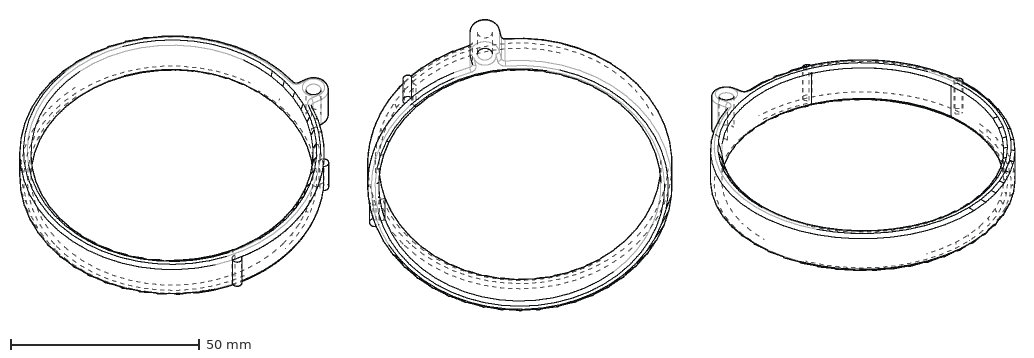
import cadquery as cq
import math

inner_radius = 37.5
wall = 3.0
outer_radius = inner_radius + wall
height = 12.0

total_length = 88
eyelet_hole_diameter = 4.0
eyelet_radius = 4.0
edge_radius = (eyelet_radius - eyelet_hole_diameter / 2) / 2
eyelet_y = total_length - outer_radius - eyelet_radius
neck_fillet = 1.0

insert_height = height - 2 * edge_radius
insert_start_angle = -5
insert_end_angle = 55
rib_radius = 1.3


def polar_point(radius, angle):
    """Point at a radius and an angle in degrees from +X, about the ring axis."""
    return (radius * math.cos(math.radians(angle)), radius * math.sin(math.radians(angle)))


def cylinder(radius, center=(0, 0), length=height, bottom=0):
    return cq.Workplane("XY", origin=(*center, bottom)).circle(radius).extrude(length)


def make_eyelet_hole():
    """Solid that cuts the eyelet hole and rounds over its two mouths."""
    hole_radius = eyelet_hole_diameter / 2
    mouth_radius = hole_radius + edge_radius
    arc_middle = mouth_radius - edge_radius * math.sqrt(0.5)
    arc_depth = edge_radius * (1 - math.sqrt(0.5))
    profile = (
        cq.Workplane("XZ")
        .lineTo(mouth_radius, 0)
        .threePointArc((arc_middle, arc_depth), (hole_radius, edge_radius))
        .lineTo(hole_radius, height - edge_radius)
        .threePointArc((arc_middle, height - arc_depth), (mouth_radius, height))
        .lineTo(0, height)
        .close()
    )
    return profile.revolve().translate((0, eyelet_y, 0))


def make_blank():
    """Complete ring with its eyelet, before the window for the insert is cut."""
    eyelet_center = (0, eyelet_y)
    head = cylinder(eyelet_radius, eyelet_center)
    neck = cq.Workplane("XY").center(0, eyelet_y / 2).rect(2 * eyelet_radius, eyelet_y).extrude(height)
    blank = cylinder(outer_radius).union(neck).union(head)

    corner_y = math.sqrt(outer_radius**2 - eyelet_radius**2)
    for side in (-1, 1):
        corner = (side * eyelet_radius, corner_y, height / 2)
        blank = blank.edges(cq.selectors.NearestToPointSelector(corner)).fillet(neck_fillet)

    blank = blank.cut(cylinder(inner_radius))
    blank = blank.faces("<Z or >Z").edges().fillet(edge_radius)
    return blank.cut(make_eyelet_hole())


def make_insert():
    """Curved wall sector with a round vertical rib centred on each end of its outer face."""
    middle_angle = (insert_start_angle + insert_end_angle) / 2
    insert = (
        cq.Workplane("XY", origin=(0, 0, edge_radius))
        .moveTo(*polar_point(inner_radius, insert_start_angle))
        .lineTo(*polar_point(outer_radius, insert_start_angle))
        .threePointArc(polar_point(outer_radius, middle_angle), polar_point(outer_radius, insert_end_angle))
        .lineTo(*polar_point(inner_radius, insert_end_angle))
        .threePointArc(polar_point(inner_radius, middle_angle), polar_point(inner_radius, insert_start_angle))
        .close()
        .extrude(insert_height)
    )
    for angle in (insert_start_angle, insert_end_angle):
        rib_center = polar_point(outer_radius, angle)
        insert = insert.union(cylinder(rib_radius, rib_center, insert_height, edge_radius))
    return insert


insert = make_insert()
ring = make_blank().cut(insert)

result = cq.Compound.makeCompound([ring.val(), insert.val()])